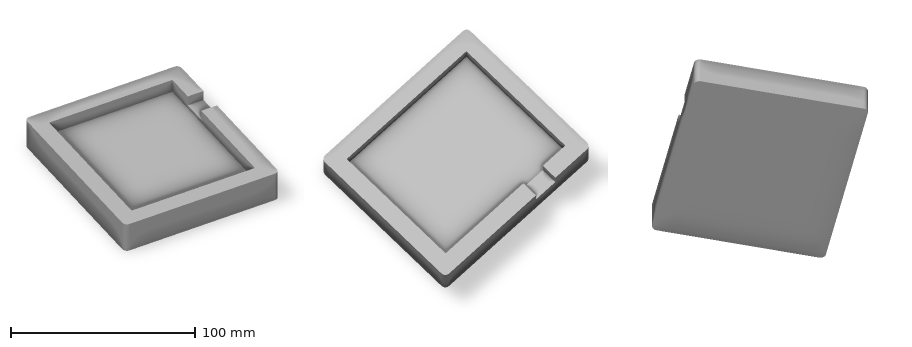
import cadquery as cq

length = 110.0
width = 96.5
height = 18.0
corner_radius = 3.0

wall = 9.8
pocket_depth = 8.0

notch_left_offset = 26.7
notch_width = 14.7
notch_depth = 6.0


def make_body():
    """Block with rounded vertical corners, resting on Z = 0."""
    block = cq.Workplane("XY").box(length, width, height, centered=(True, True, False))
    return block.edges("|Z").fillet(corner_radius)


def make_pocket():
    """Sharp-cornered pocket surrounded by an even wall."""
    return (
        cq.Workplane("XY")
        .workplane(offset=height - pocket_depth)
        .rect(length - 2 * wall, width - 2 * wall)
        .extrude(pocket_depth)
    )


def make_notch():
    """Channel from the pocket out through the rear wall."""
    notch_x = -length / 2 + notch_left_offset
    notch_y = width / 2 - wall
    return cq.Workplane("XY").box(notch_width, wall, notch_depth, centered=False).translate(
        (notch_x, notch_y, height - notch_depth)
    )


result = make_body().cut(make_pocket()).cut(make_notch())